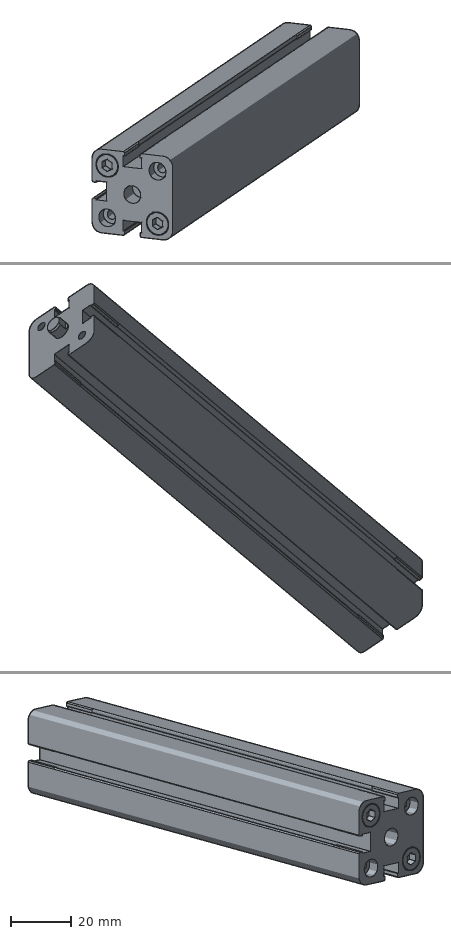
import cadquery as cq

total_length = 167.5
side = 29.0
rod_reach = 4.2
corner_radius = 3.5
half = side / 2
housing_length = total_length - rod_reach
front_y = -total_length / 2
back_y = front_y + housing_length

cap_length = 12.5
barrel_length = housing_length - 2 * cap_length

slot_depth = 5.2
slot_width = 6.5
lip_depth = 1.5
mouth_width = 5.5
lip_edge = 0.42
slot_angles = (0, 90, 180)

pattern_offset = 9.0
screw_places = [(-pattern_offset, pattern_offset), (pattern_offset, -pattern_offset)]
hole_places = [(-pattern_offset, -pattern_offset), (pattern_offset, pattern_offset)]
mount_hole_diameter = 6.0
mount_hole_depth = 4.0
through_hole_diameter = 3.2

recess_diameter = 8.0
head_diameter = 7.5
recess_depth = 3.4
socket_corner_diameter = 4.2
socket_depth = 3.0
socket_turn = 90

port_diameter = 6.0
port_depth = 7.5

rod_diameter = 6.0
flat_width = 5.0
flat_length = 3.4
tip_chamfer_length = 0.7
tip_chamfer_inset = 0.3


def section_at(y):
    """Sketch plane across the cylinder, with X to the right, Z up and +Y as its back side."""
    return cq.Workplane("XZ", origin=(0, y, 0))


def slot_outline(rounded_lips):
    """Closed outline of the top slot; its lips have a rounded nose or a chamfered outer edge."""
    mouth = mouth_width / 2
    channel = slot_width / 2
    flare = mouth + lip_edge
    lip_bottom = half - lip_depth
    floor = half - slot_depth
    outline = section_at(0).moveTo(-flare, half)
    if rounded_lips:
        nose = half - lip_depth / 2
        outline = outline.threePointArc((-mouth, nose), (-flare, lip_bottom))
        outline = outline.lineTo(-channel, lip_bottom).lineTo(-channel, floor)
        outline = outline.lineTo(channel, floor).lineTo(channel, lip_bottom)
        outline = outline.lineTo(flare, lip_bottom).threePointArc((mouth, nose), (flare, half))
    else:
        chamfer_end = half - lip_edge
        outline = outline.lineTo(-mouth, chamfer_end).lineTo(-mouth, lip_bottom)
        outline = outline.lineTo(-channel, lip_bottom).lineTo(-channel, floor)
        outline = outline.lineTo(channel, floor).lineTo(channel, lip_bottom)
        outline = outline.lineTo(mouth, lip_bottom).lineTo(mouth, chamfer_end).lineTo(flare, half)
    return outline.close()


def profile(start_y, length, rounded_lips):
    """Rounded square bar with a sensor slot in its +Z, -X and -Z faces."""
    bar = section_at(0).rect(side, side).extrude(-length).edges("|Y").fillet(corner_radius)
    slot = slot_outline(rounded_lips).extrude(-length)
    for angle in slot_angles:
        bar = bar.cut(slot.rotate((0, 0, 0), (0, 1, 0), -angle))
    return bar.translate((0, start_y, 0))


def front_cutter(places, diameter, depth):
    """Round holes sunk into the front face."""
    return section_at(front_y).pushPoints(places).circle(diameter / 2).extrude(-depth)


def screw_cutter():
    """Ring-shaped gaps around the screw heads, together with their hexagon sockets."""
    cutter = front_cutter(screw_places, recess_diameter, recess_depth)
    cutter = cutter.cut(front_cutter(screw_places, head_diameter, recess_depth))
    for x, z in screw_places:
        plane = section_at(front_y).center(x, z).transformed(rotate=(0, 0, socket_turn))
        cutter = cutter.union(plane.polygon(6, socket_corner_diameter).extrude(-socket_depth))
    return cutter


def piston_rod():
    """Short round rod end with a chamfered tip and two flats."""
    tip_y = back_y + rod_reach
    rod = section_at(back_y).circle(rod_diameter / 2).extrude(-rod_reach)
    rod = rod.faces(">Y").chamfer(tip_chamfer_length, tip_chamfer_inset)
    radius = rod_diameter / 2
    flat_x = flat_width / 2
    flat_end_y = tip_y - flat_length
    ramp_end_y = flat_end_y - (radius - flat_x)
    corners = [(flat_x, tip_y), (flat_x, flat_end_y), (radius, ramp_end_y), (radius, tip_y)]
    flat_cutter = cq.Workplane("XY").polyline(corners).close().extrude(radius, both=True)
    return rod.cut(flat_cutter).cut(flat_cutter.mirror("YZ"))


barrel_start_y = front_y + cap_length
back_cap_y = barrel_start_y + barrel_length

result = profile(front_y, cap_length, rounded_lips=False)
result = result.union(profile(barrel_start_y, barrel_length, rounded_lips=True))
result = result.union(profile(back_cap_y, cap_length, rounded_lips=False))
result = result.cut(front_cutter(hole_places, through_hole_diameter, housing_length))
result = result.cut(front_cutter(hole_places, mount_hole_diameter, mount_hole_depth))
result = result.cut(front_cutter([(0, 0)], port_diameter, port_depth))
result = result.cut(screw_cutter())
result = result.union(piston_rod())